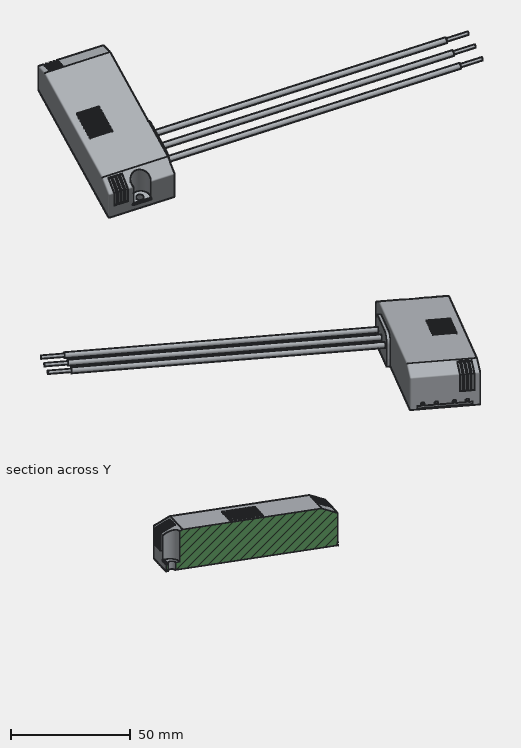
import cadquery as cq

HOUSING_LENGTH = 77.0
HOUSING_DEPTH = 30.1
HOUSING_HEIGHT = 18.2
SLOPE_RUN = 7.4
SLOPE_DROP = 3.3
WALL_FILLET = 0.7
HALF_LENGTH = HOUSING_LENGTH / 2
SHOULDER_HEIGHT = HOUSING_HEIGHT - SLOPE_DROP

COLLAR_X = 17.2
COLLAR_LENGTH = 24.4
COLLAR_DEPTH = 1.5
COLLAR_HEIGHT = 14.7
COLLAR_CORNER_RADIUS = 4.2
COLLAR_FOOT_HEIGHT = 3.7
COLLAR_FOOT_INSET = 0.4

CABLE_COUNT = 3
CABLE_FIRST_X = 9.5
CABLE_SPAN = 15.2
CABLE_PITCH = CABLE_SPAN / (CABLE_COUNT - 1)
CABLE_Z = 8.2
SLEEVE_DIAMETER = 2.6
CONDUCTOR_DIAMETER = 1.6
TIP_Y = 175.2
CONDUCTOR_LENGTH = 10.0

VENT_COUNT = 8
VENT_SPAN = 13.7
VENT_PITCH = VENT_SPAN / (VENT_COUNT - 1)
VENT_WIDTH = 1.09
VENT_LENGTH = 10.2
VENT_DEPTH = 1.0
VENT_X = 2.0
VENT_Y = 9.0

GROOVE_COUNT = 4
GROOVE_SPAN = 5.0
GROOVE_PITCH = GROOVE_SPAN / (GROOVE_COUNT - 1)
GROOVE_WIDTH = 1.09
GROOVE_DEPTH = 0.5
GROOVE_REACH = 6.5
GROOVE_FIRST_Y = 2.6
GROOVE_BOTTOM = 6.8
CUT_MARGIN = 1.8

POCKET_DIAMETER = 8.5
POCKET_INSET = 1.8
POCKET_Y = 15.2
POCKET_FLOOR = 3.7
SCREW_HOLE_DIAMETER = 3.2
SCREW_HOLE_INSET = 2.6
LEDGE_WIDTH = 0.7
LEDGE_DROP = 0.5

RECESS_FRONT_Y = 3.3
RECESS_LENGTH = 23.7
RECESS_BOTTOM = 0.44
RECESS_HEIGHT = 1.14
RECESS_DEPTH = 0.4
NOTCH_CENTRES_Y = (5.6, 11.2, 19.0, 24.7)
NOTCH_WIDTH = 1.6
NOTCH_BOTTOM = RECESS_BOTTOM + RECESS_HEIGHT
NOTCH_TOP = 3.2
NOTCH_DEPTH = 1.4


def box(x, y, z, length, depth, height):
    """Box with its lowest corner at (x, y, z)."""
    return cq.Workplane("XY", origin=(x, y, z)).box(length, depth, height, centered=False)


def end_profile(inset):
    """Front outline of the housing, moved inward from the end walls and shoulders."""
    half = HALF_LENGTH - inset
    flat = HALF_LENGTH - SLOPE_RUN
    return [
        (-half, 0),
        (half, 0),
        (half, SHOULDER_HEIGHT - inset),
        (flat, HOUSING_HEIGHT - inset),
        (-flat, HOUSING_HEIGHT - inset),
        (-half, SHOULDER_HEIGHT - inset),
    ]


def prism(points, depth):
    """Front outline extruded from Y = 0 toward +Y."""
    return cq.Workplane("XZ").polyline(points).close().extrude(-depth)


def make_shell():
    """Solid block with every edge rounded except the base and the two top shoulder edges."""
    block = prism(end_profile(0), HOUSING_DEPTH)
    shoulder_edges = cq.selectors.BoxSelector(
        (-HALF_LENGTH + WALL_FILLET, WALL_FILLET, WALL_FILLET),
        (HALF_LENGTH - WALL_FILLET, HOUSING_DEPTH - WALL_FILLET, HOUSING_HEIGHT + WALL_FILLET),
    )
    base_edges = cq.selectors.StringSyntaxSelector("<Z")
    rounded = cq.selectors.InverseSelector(cq.selectors.SumSelector(shoulder_edges, base_edges))
    return block.edges(rounded).fillet(WALL_FILLET)


def make_collar():
    """Round-topped plate whose foot narrows slightly toward the base."""
    half = COLLAR_LENGTH / 2
    foot_half = half - COLLAR_FOOT_INSET
    plate = (
        cq.Workplane("XZ", origin=(COLLAR_X, HOUSING_DEPTH, 0))
        .moveTo(-foot_half, 0)
        .lineTo(foot_half, 0)
        .lineTo(half, COLLAR_FOOT_HEIGHT)
        .lineTo(half, COLLAR_HEIGHT)
        .lineTo(-half, COLLAR_HEIGHT)
        .lineTo(-half, COLLAR_FOOT_HEIGHT)
        .close()
        .extrude(-COLLAR_DEPTH)
    )
    return plate.edges("|Y and >Z").fillet(COLLAR_CORNER_RADIUS)


def make_vents():
    """Row of blind slots cut down into the top."""
    return (
        cq.Workplane("XY", origin=(VENT_X, VENT_Y, HOUSING_HEIGHT))
        .rarray(VENT_PITCH, 1.8, VENT_COUNT, 1)
        .rect(VENT_WIDTH, VENT_LENGTH)
        .extrude(-VENT_DEPTH)
    )


def make_grip_grooves():
    """Shallow grooves running up each end wall and over its shoulder."""
    groove_floor = prism(end_profile(GROOVE_DEPTH), HOUSING_DEPTH)
    rim = prism(end_profile(-CUT_MARGIN), HOUSING_DEPTH).cut(groove_floor)
    grooves = cq.Workplane("XY")
    for side_x in (-HALF_LENGTH - CUT_MARGIN, HALF_LENGTH - GROOVE_REACH):
        for index in range(GROOVE_COUNT):
            y = GROOVE_FIRST_Y + index * GROOVE_PITCH
            band = box(side_x, y, GROOVE_BOTTOM, GROOVE_REACH + CUT_MARGIN, GROOVE_WIDTH, HOUSING_HEIGHT)
            grooves = grooves.add(band.intersect(rim))
    return grooves.combine()


def make_screw_pocket():
    """Side-opening screw pocket with a through hole and a lower ledge at its mouth."""
    pocket = (
        cq.Workplane("XY", origin=(HALF_LENGTH - POCKET_INSET, POCKET_Y, POCKET_FLOOR))
        .circle(POCKET_DIAMETER / 2)
        .extrude(HOUSING_HEIGHT)
    )
    hole = (
        cq.Workplane("XY", origin=(HALF_LENGTH - SCREW_HOLE_INSET, POCKET_Y, 0))
        .circle(SCREW_HOLE_DIAMETER / 2)
        .extrude(HOUSING_HEIGHT)
    )
    ledge = box(
        HALF_LENGTH - LEDGE_WIDTH,
        POCKET_Y - POCKET_DIAMETER / 2,
        POCKET_FLOOR - LEDGE_DROP,
        LEDGE_WIDTH,
        POCKET_DIAMETER,
        LEDGE_DROP,
    )
    return pocket.union(hole).union(ledge)


def make_base_recess():
    """Shallow rectangular recess low on the -X end wall."""
    return box(-HALF_LENGTH, RECESS_FRONT_Y, RECESS_BOTTOM, RECESS_DEPTH, RECESS_LENGTH, RECESS_HEIGHT)


def make_latch_notches():
    """Round-topped notches in a row, opening into the top of the base recess."""
    radius = NOTCH_WIDTH / 2
    height = NOTCH_TOP - NOTCH_BOTTOM
    notches = cq.Workplane("XY")
    for centre_y in NOTCH_CENTRES_Y:
        notch = (
            cq.Workplane("YZ", origin=(-HALF_LENGTH, centre_y, NOTCH_BOTTOM))
            .moveTo(-radius, 0)
            .lineTo(radius, 0)
            .lineTo(radius, height - radius)
            .threePointArc((0, height), (-radius, height - radius))
            .close()
            .extrude(NOTCH_DEPTH)
        )
        notches = notches.add(notch)
    return notches.combine()


def make_housing():
    return (
        make_shell()
        .union(make_collar())
        .cut(make_vents())
        .cut(make_grip_grooves())
        .cut(make_screw_pocket())
        .cut(make_base_recess())
        .cut(make_latch_notches())
    )


def make_cable(x):
    """Sleeve standing on the collar face, tipped by its bare conductor."""
    collar_face = HOUSING_DEPTH + COLLAR_DEPTH
    sleeve_length = TIP_Y - CONDUCTOR_LENGTH - collar_face
    sleeve = (
        cq.Workplane("XZ", origin=(x, collar_face, CABLE_Z))
        .circle(SLEEVE_DIAMETER / 2)
        .extrude(-sleeve_length)
    )
    return sleeve.faces(">Y").workplane().circle(CONDUCTOR_DIAMETER / 2).extrude(CONDUCTOR_LENGTH)


housing = make_housing()
cables = []
for index in range(CABLE_COUNT):
    cables.append(make_cable(CABLE_FIRST_X + index * CABLE_PITCH))

result = cq.Compound.makeCompound([housing.val(), *[cable.val() for cable in cables]])